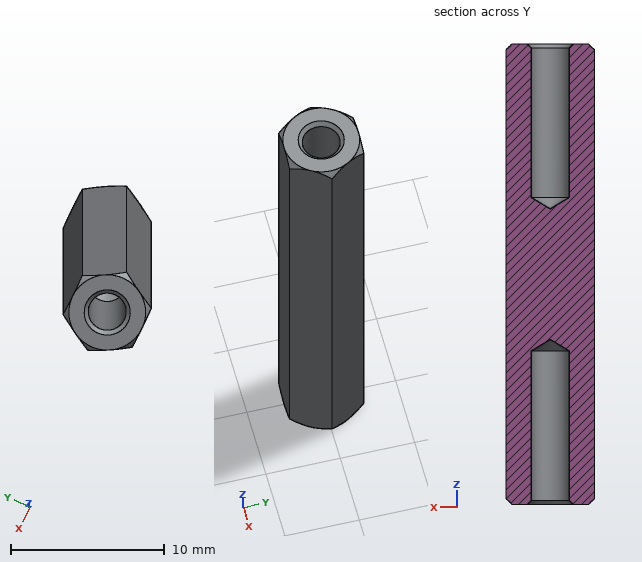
import cadquery as cq
import math

length = 30.0
across_flats = 5.0
end_chamfer_angle = 45.0

thread_diameter = 3.0
hole_diameter = 2.46
hole_depth = 10.0
drill_point_angle = 118.0

across_corners = across_flats / math.cos(math.radians(30))
flat_radius = across_flats / 2
corner_radius = across_corners / 2
corner_drop = (corner_radius - flat_radius) * math.tan(math.radians(end_chamfer_angle))

hole_radius = hole_diameter / 2
countersink_radius = thread_diameter / 2
countersink_depth = countersink_radius - hole_radius
drill_point_depth = hole_radius / math.tan(math.radians(drill_point_angle / 2))


def revolve_about_z(profile_points):
    """Solid of revolution about Z from (radius, z) points."""
    profile = cq.Workplane("XZ").polyline(profile_points).close()
    return profile.revolve(360, (0, 0, 0), (0, 1, 0))


def hex_bar():
    """Hexagonal bar standing on z = 0, with corners on the X axis."""
    return cq.Workplane("XY").polygon(6, across_corners).extrude(length)


def chamfer_envelope():
    """Round bar with coned ends that trims the hexagon corners."""
    return revolve_about_z([
        (0, 0),
        (flat_radius, 0),
        (corner_radius, corner_drop),
        (corner_radius, length - corner_drop),
        (flat_radius, length),
        (0, length),
    ])


def top_hole():
    """Countersunk blind hole with a drill point, opening in the top face."""
    return revolve_about_z([
        (0, length),
        (countersink_radius, length),
        (hole_radius, length - countersink_depth),
        (hole_radius, length - hole_depth),
        (0, length - hole_depth - drill_point_depth),
    ])


def bottom_hole():
    """Mirror image of the top hole about mid-length."""
    return top_hole().mirror("XY", (0, 0, length / 2))


result = hex_bar().intersect(chamfer_envelope()).cut(top_hole()).cut(bottom_hole())